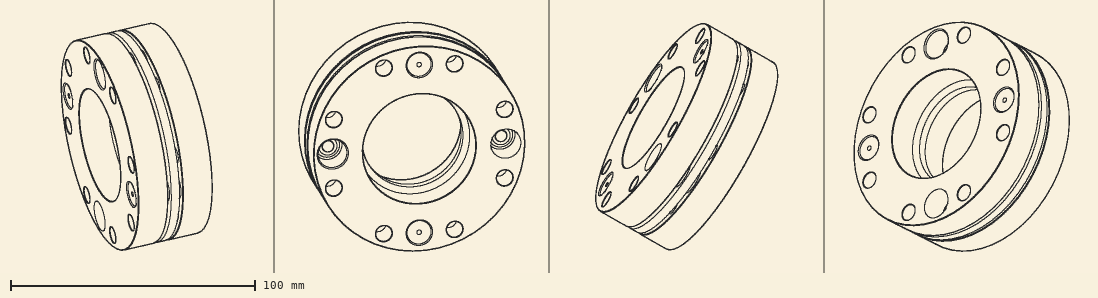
import cadquery as cq
import math

plate_diameter = 88.0
plate_thickness = 13.0
plate_bore = 47.0
plate_edge_chamfer = 0.3
bore_edge_chamfer = 0.3

ring_diameter = 87.9
ring_bore = 41.9
ring_thickness = 3.6
gap = 1.4

bolt_hole_diameter = 6.7
bolt_hole_chamfer = 0.22
bolt_circle_radius = 38.5
bolt_hole_count = 8

pin_circle_radius = 36.0
pin_diameter = 10.0
pin_seat_diameter = 11.0
pin_recess = (pin_seat_diameter - pin_diameter) / 2
centre_drill_diameter = 1.9
collar_diameter = 12.0
collar_seat = 1.8
fitted_hole_diameter = 12.0
fitted_hole_chamfer = 0.5
clearance_hole_diameter = 12.5

tip_length = 0.9
tip_shoulder_diameter = 8.5
tip_shoulder_height = 0.6
tip_flat_diameter = 7.6
tip_boss_diameter = 5.0
tip_boss_height = 0.22
tip_boss_chamfer = 0.2

plate_inner = ring_thickness / 2 + gap
plate_outer = plate_inner + plate_thickness
collar_end = plate_inner + collar_seat


def at_angle(radius, angle):
    """Centre of a feature on a circle, in the plane of the discs."""
    return radius * math.cos(math.radians(angle)), radius * math.sin(math.radians(angle))


def disc(diameter, bottom, top, centre=(0, 0)):
    """Cylinder along the local Z axis between two heights."""
    return cq.Workplane("XY", origin=(*centre, bottom)).circle(diameter / 2).extrude(top - bottom)


def countersink(diameter, chamfer, centre=(0, 0)):
    """Cone that chamfers the edge of a hole in the outer face of a plate."""
    cone = cq.Solid.makeCone(
        diameter / 2 + chamfer,
        diameter / 2,
        chamfer,
        pnt=cq.Vector(*centre, plate_outer),
        dir=cq.Vector(0, 0, -1),
    )
    return cq.Workplane(obj=cone)


def through_hole(diameter, chamfer=0, centre=(0, 0)):
    """Hole through a plate, chamfered at the outer face when asked."""
    hole = disc(diameter, plate_inner, plate_outer, centre)
    if chamfer > 0:
        hole = hole.union(countersink(diameter, chamfer, centre))
    return hole


def plate():
    """Upper plate in local coordinates: fixed pins on local X, open holes on local Y."""
    body = disc(plate_diameter, plate_inner, plate_outer)
    body = body.edges().chamfer(plate_edge_chamfer)
    body = body.cut(through_hole(plate_bore, bore_edge_chamfer))
    for index in range(bolt_hole_count):
        angle = (index + 0.5) * 360 / bolt_hole_count
        centre = at_angle(bolt_circle_radius, angle)
        body = body.cut(through_hole(bolt_hole_diameter, bolt_hole_chamfer, centre))

    body = body.cut(through_hole(fitted_hole_diameter, fitted_hole_chamfer, at_angle(pin_circle_radius, 90)))
    body = body.cut(through_hole(clearance_hole_diameter, centre=at_angle(pin_circle_radius, 270)))

    for angle in (0, 180):
        centre = at_angle(pin_circle_radius, angle)
        body = body.cut(countersink(pin_diameter, pin_recess, centre))
        body = body.cut(centre_drill(centre))
    return body


def centre_drill(centre):
    """Conical centre mark in the recessed head of a pin."""
    radius = centre_drill_diameter / 2
    base = cq.Vector(*centre, plate_outer - pin_recess)
    cone = cq.Solid.makeCone(radius, 0, radius, pnt=base, dir=cq.Vector(0, 0, -1))
    return cq.Workplane(obj=cone)


def pin_end(angle):
    """Collar and pin tip that reach from the ring into an open hole of a plate."""
    tip_top = collar_end + tip_length
    boss_top = tip_top + tip_boss_height
    profile = [
        (0, 0),
        (collar_diameter / 2, 0),
        (collar_diameter / 2, collar_end),
        (pin_diameter / 2, collar_end),
        (tip_shoulder_diameter / 2, collar_end + tip_shoulder_height),
        (tip_flat_diameter / 2, tip_top),
        (tip_boss_diameter / 2, tip_top),
        (tip_boss_diameter / 2 - tip_boss_chamfer, boss_top),
        (0, boss_top),
    ]
    turned = cq.Workplane("XZ").polyline(profile).close().revolve(360, (0, 0), (0, 1))
    return turned.translate((*at_angle(pin_circle_radius, angle), 0))


def plate_with_pins():
    """Plate together with the collars and pin tips on its side of the ring."""
    body = plate()
    for angle in (0, 180):
        body = body.union(disc(collar_diameter, 0, collar_end, at_angle(pin_circle_radius, angle)))
    for angle in (90, 270):
        body = body.union(pin_end(angle))
    return body


ring = disc(ring_diameter, -ring_thickness / 2, ring_thickness / 2)
ring = ring.cut(disc(ring_bore, -ring_thickness / 2, ring_thickness / 2))

front_half = plate_with_pins()
rear_half = front_half.rotate((0, 0, 0), (1, 0, 0), 180).rotate((0, 0, 0), (0, 0, 1), 90)
stack = ring.union(front_half).union(rear_half)

result = stack.rotate((0, 0, 0), (1, 0, 0), 90)